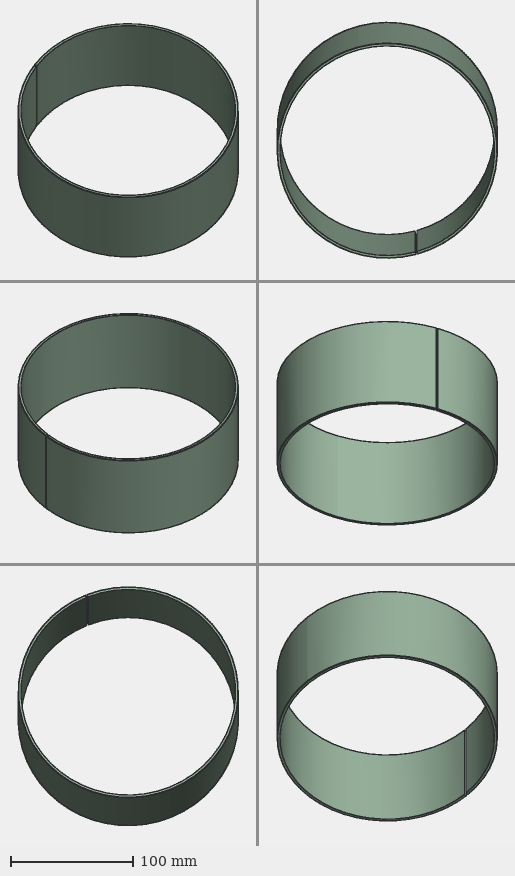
import cadquery as cq
import math

outer_diameter = 180.0
wall_thickness = 2.5
height = 80.0
outer_chamfer = 0.5
inner_chamfer = 0.2
slit_angle = 1.0

outer_radius = outer_diameter / 2
inner_radius = outer_radius - wall_thickness


def make_band():
    """Closed thin ring standing on the XY plane, with its inner and outer rims chamfered."""
    wall_section = (
        cq.Workplane("XZ")
        .moveTo(inner_radius + inner_chamfer, 0)
        .lineTo(outer_radius - outer_chamfer, 0)
        .lineTo(outer_radius, outer_chamfer)
        .lineTo(outer_radius, height - outer_chamfer)
        .lineTo(outer_radius - outer_chamfer, height)
        .lineTo(inner_radius + inner_chamfer, height)
        .lineTo(inner_radius, height - inner_chamfer)
        .lineTo(inner_radius, inner_chamfer)
        .close()
    )
    return wall_section.revolve(360, (0, 0, 0), (0, 1, 0))


def make_slit_cutter():
    """Wedge about Z that splits the wall on the -X side, from Y = 0 towards +Y."""
    reach = outer_radius + wall_thickness
    width_at_reach = reach * math.tan(math.radians(slit_angle))
    wedge = cq.Workplane("XY").lineTo(-reach, 0).lineTo(-reach, width_at_reach).close()
    return wedge.extrude(height)


result = make_band().cut(make_slit_cutter())